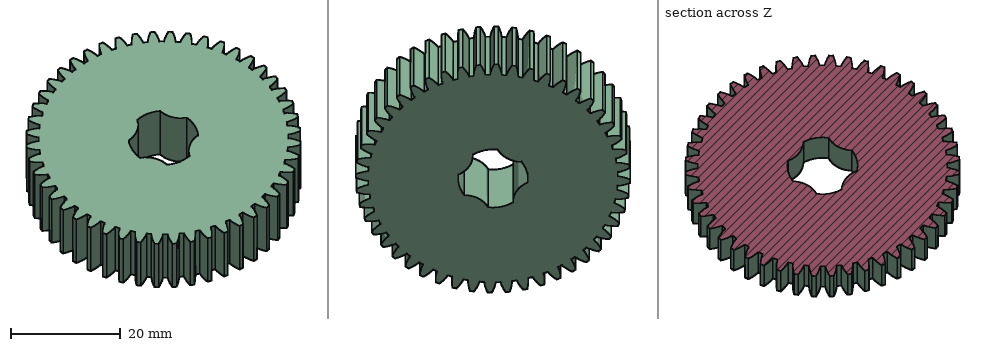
import cadquery as cq
import math

TOOTH_COUNT = 48
OUTER_DIAMETER = 50.0
FACE_WIDTH = 12.5
PRESSURE_ANGLE = math.radians(20)
DEDENDUM_FACTOR = 1.25
FLANK_POINTS = 6

MODULE = OUTER_DIAMETER / (TOOTH_COUNT + 2)
TIP_RADIUS = OUTER_DIAMETER / 2
PITCH_RADIUS = MODULE * TOOTH_COUNT / 2
ROOT_RADIUS = PITCH_RADIUS - DEDENDUM_FACTOR * MODULE
BASE_RADIUS = PITCH_RADIUS * math.cos(PRESSURE_ANGLE)
TOOTH_PITCH = 2 * math.pi / TOOTH_COUNT

BORE_RADIUS = 6.35
LOBE_RADIUS = 4.85
LOBE_CLEARANCE_RADIUS = 5.1
LOBE_COUNT = 4


def polar(radius, angle):
    return (radius * math.cos(angle), radius * math.sin(angle))


def involute(angle):
    return math.tan(angle) - angle


def half_tooth_angle(radius):
    """Half the angle a tooth spans at the given radius."""
    local_pressure_angle = math.acos(BASE_RADIUS / radius)
    return TOOTH_PITCH / 4 + involute(PRESSURE_ANGLE) - involute(local_pressure_angle)


def make_gear_blank():
    """Spur gear with involute flanks and the first tooth centred on +X."""
    step = (TIP_RADIUS - ROOT_RADIUS) / (FLANK_POINTS - 1)
    flank_radii = [ROOT_RADIUS + i * step for i in range(FLANK_POINTS)]
    outline = cq.Workplane("XY").moveTo(*polar(ROOT_RADIUS, -half_tooth_angle(ROOT_RADIUS)))
    for tooth in range(TOOTH_COUNT):
        center = tooth * TOOTH_PITCH
        rising = [polar(r, center - half_tooth_angle(r)) for r in flank_radii]
        falling = [polar(r, center + half_tooth_angle(r)) for r in reversed(flank_radii)]
        gap_middle = polar(ROOT_RADIUS, center + TOOTH_PITCH / 2)
        next_root = polar(ROOT_RADIUS, center + TOOTH_PITCH - half_tooth_angle(ROOT_RADIUS))
        outline = (
            outline.spline(rising[1:], includeCurrent=True)
            .threePointArc(polar(TIP_RADIUS, center), falling[0])
            .spline(falling[1:], includeCurrent=True)
            .threePointArc(gap_middle, next_root)
        )
    return outline.close().extrude(FACE_WIDTH)


def make_bore():
    """Through-hole cutter: a cylinder scalloped by the four lobes."""
    bore = cq.Workplane("XY").circle(BORE_RADIUS).extrude(FACE_WIDTH)
    lobes = (
        cq.Workplane("XY")
        .polarArray(LOBE_CLEARANCE_RADIUS + LOBE_RADIUS, 0, 360, LOBE_COUNT)
        .circle(LOBE_RADIUS)
        .extrude(FACE_WIDTH)
    )
    return bore.cut(lobes)


result = make_gear_blank().cut(make_bore())